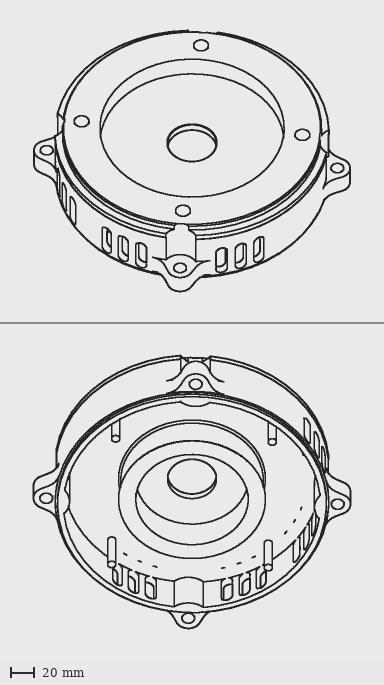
import cadquery as cq
import math

collar_radius = 114.3
drum_radius = 114.0
foot_radius = 112.2
total_height = 61.5
shoulder_height = 55.3
collar_bottom = 50.3
foot_height = 3.5

rim_radius = 108.1
rim_chamfer_width = 1.0
rim_chamfer_height = 1.4

wall_thickness = 6.9
wall_inner_radius = drum_radius - wall_thickness

recess_radius = 76.8
recess_floor = 43.0
web_thickness = 7.0
bore_radius = 20.3
bore_chamfer = 0.5
cavity_top = recess_floor - web_thickness

hub_outer_radius = 59.5
hub_inner_radius = 46.9
hub_bottom = 7.0
hub_flare = 1.8

post_radius = 3.5
post_distance = 92.4
post_bottom = 2.0

top_hole_radius = 6.2
top_hole_depth = 18.3
top_hole_distance = 92.4

corner_offset = 86.0
corner_distance = corner_offset * math.sqrt(2)
lug_radius = 10.7
lug_hole_radius = 5.3
lug_bottom = 4.8
lug_top = 22.5
lug_flank_angle = 27.0
lug_fillet_radius = 16.0
scallop_radius = 14.9
scallop_wall = 4.5

slot_width = 9.5
slot_bottom = 5.7
slot_top = 36.1
slot_inner_radius = 96.0
slot_first_angle = 11.0
slot_pitch_angle = 8.4
slots_per_group = 3
slot_groups = ((180, 1), (270, -1), (270, 1), (0, -1))

axis_angles = (0, 90, 180, 270)
corner_angles = (45, 135, 225, 315)


def turned(shape, angle):
    return shape.rotate((0, 0, 0), (0, 0, 1), angle)


def cylinder(radius, bottom, top, x=0):
    return cq.Workplane("XY", origin=(x, 0, bottom)).circle(radius).extrude(top - bottom)


def make_shell():
    """Stacked discs of the outside: foot, drum, collar and chamfered rim."""
    return (
        cq.Workplane("XZ")
        .moveTo(0, 0)
        .lineTo(foot_radius, 0)
        .lineTo(foot_radius, foot_height)
        .lineTo(drum_radius, foot_height)
        .lineTo(drum_radius, collar_bottom)
        .lineTo(collar_radius, collar_bottom)
        .lineTo(collar_radius, shoulder_height)
        .lineTo(rim_radius, shoulder_height)
        .lineTo(rim_radius, total_height - rim_chamfer_height)
        .lineTo(rim_radius - rim_chamfer_width, total_height)
        .lineTo(0, total_height)
        .close()
        .revolve(360, (0, 0, 0), (0, 1, 0))
    )


def make_hub():
    """Solid outline of the hub, with 45 degree flares at its two ends."""
    flare_radius = hub_outer_radius + hub_flare
    return (
        cq.Workplane("XZ")
        .moveTo(0, hub_bottom)
        .lineTo(flare_radius, hub_bottom)
        .lineTo(hub_outer_radius, hub_bottom + hub_flare)
        .lineTo(hub_outer_radius, cavity_top - hub_flare)
        .lineTo(flare_radius, cavity_top)
        .lineTo(0, cavity_top)
        .close()
        .revolve(360, (0, 0, 0), (0, 1, 0))
    )


def make_cavity():
    """Underside hollow, leaving the hub, the posts and a wall behind each scallop."""
    cavity = cylinder(wall_inner_radius, 0, cavity_top)
    cavity = cavity.cut(make_hub())
    post = cylinder(post_radius, post_bottom, cavity_top, post_distance)
    backing = cylinder(scallop_radius + scallop_wall, 0, cavity_top, corner_distance)
    for angle in axis_angles:
        cavity = cavity.cut(turned(post, angle))
    for angle in corner_angles:
        cavity = cavity.cut(turned(backing, angle))
    return cavity


def make_bore():
    """Recess in the top, chamfered bore through the web and the open inside of the hub."""
    bore = cylinder(bore_radius, cavity_top, recess_floor)
    countersink = (
        cq.Workplane("XY", origin=(0, 0, recess_floor))
        .circle(bore_radius + bore_chamfer)
        .extrude(-bore_chamfer, taper=45)
    )
    recess = cylinder(recess_radius, recess_floor, total_height)
    hub_inside = cylinder(hub_inner_radius, 0, cavity_top)
    return recess.union(bore).union(countersink).union(hub_inside)


def make_lug():
    """Lug on the +X axis: round nose, straight flanks and fillets running into the drum."""
    angle = math.radians(lug_flank_angle)
    normal = cq.Vector(math.sin(angle), math.cos(angle))
    along = cq.Vector(-math.cos(angle), math.sin(angle))
    nose_centre = cq.Vector(corner_distance, 0)
    nose = nose_centre + normal * lug_radius

    start = nose + normal * lug_fillet_radius
    centre_distance = drum_radius + lug_fillet_radius
    closest = -start.dot(along)
    flank_length = closest - math.sqrt(closest**2 - start.dot(start) + centre_distance**2)
    flank_end = nose + along * flank_length
    fillet_centre = start + along * flank_length
    inward = fillet_centre.normalized() * -1
    root = fillet_centre + inward * lug_fillet_radius
    fillet_middle = fillet_centre + (inward - normal).normalized() * lug_fillet_radius

    def mirrored(point):
        return (point.x, -point.y)

    return (
        cq.Workplane("XY", origin=(0, 0, lug_bottom))
        .moveTo(root.x, root.y)
        .threePointArc((fillet_middle.x, fillet_middle.y), (flank_end.x, flank_end.y))
        .lineTo(nose.x, nose.y)
        .threePointArc((corner_distance + lug_radius, 0), mirrored(nose))
        .lineTo(*mirrored(flank_end))
        .threePointArc(mirrored(fillet_middle), mirrored(root))
        .threePointArc((wall_inner_radius, 0), (root.x, root.y))
        .close()
        .extrude(lug_top - lug_bottom)
    )


def make_slot(angle):
    middle_height = (slot_bottom + slot_top) / 2
    slot = (
        cq.Workplane("YZ", origin=(slot_inner_radius, 0, middle_height))
        .slot2D(slot_top - slot_bottom, slot_width, 90)
        .extrude(collar_radius - slot_inner_radius)
    )
    return turned(slot, angle)


result = make_shell().cut(make_cavity()).cut(make_bore())

lug = make_lug()
scallop = cylinder(scallop_radius, lug_top, total_height, corner_distance)
lug_hole = cylinder(lug_hole_radius, lug_bottom, lug_top, corner_distance)
top_hole = cylinder(top_hole_radius, total_height - top_hole_depth, total_height, top_hole_distance)
for corner in corner_angles:
    result = result.union(turned(lug, corner))
    for cutter in (scallop, lug_hole, top_hole):
        result = result.cut(turned(cutter, corner))

for axis_angle, side in slot_groups:
    for index in range(slots_per_group):
        offset = slot_first_angle + index * slot_pitch_angle
        result = result.cut(make_slot(axis_angle + side * offset))